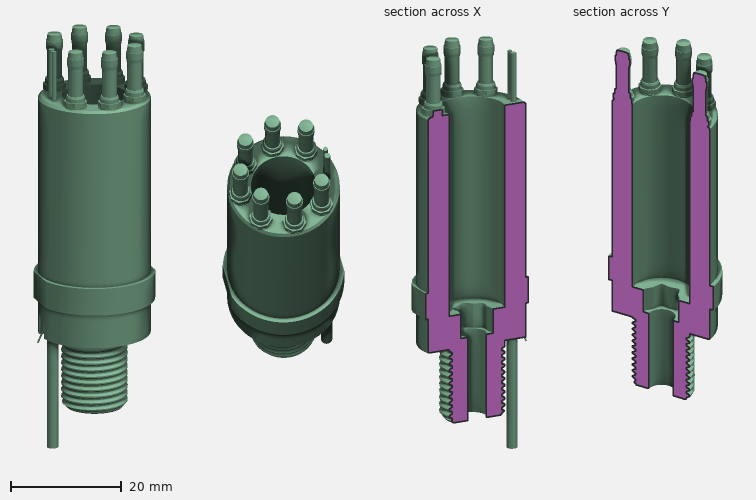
import cadquery as cq
import math

TOTAL_HEIGHT = 76.5
BODY_TOP = 65.95
BODY_BOTTOM = 21.1
STUD_BOTTOM = 7.0

BODY_DIAMETER = 20.35
BODY_CHAMFER = 0.45
FLANGE_DIAMETER = 21.95
FLANGE_FLAT_WIDTH = 20.95
FLANGE_BOTTOM = 27.55
FLANGE_HEIGHT = 5.05
BORE_DIAMETER = 11.8
BORE_FLOOR = FLANGE_BOTTOM
THROUGH_DIAMETER = 5.05

LOBE_COUNT = 6
LOBE_CORNER_RADIUS = 3.9
LOBE_VALLEY_RADIUS = 3.0
LOBE_ROUNDING = 0.7
SOCKET_DEPTH = 4.6

STUD_DIAMETER = 12.0
STUD_CHAMFER = 0.9
THREAD_LENGTH = 15.0
THREAD_TURNS = 12
THREAD_PITCH = THREAD_LENGTH / THREAD_TURNS
THREAD_DEPTH = 0.65
THREAD_ROOT_WIDTH = 0.27
THREAD_FLANK_ANGLE = 30.0
THREAD_END_HEIGHT = 20.6
THREAD_END_ANGLE = 190.0
CUTTER_OVERRUN = 0.1

PIN_STATIONS = 8
FREE_STATION = 6
PIN_CIRCLE_DIAMETER = 16.0
PIN_DIAMETER = 2.7
PIN_TIP_DIAMETER = 2.5
PIN_TIP_BASE_DIAMETER = 2.8
PIN_TIP_LENGTH = 1.3
PIN_DOME_HEIGHT = 0.115
BARB_DIAMETER = 3.05
BARB_LENGTH = 1.2
BARB_HEEL_LENGTH = 0.6
BARB_HEEL_DIAMETER = 2.9
COLLAR_DIAMETER = 3.45
COLLAR_BEVEL_DIAMETER = 3.1
COLLAR_HEIGHT = 1.1
COLLAR_BEVEL = 0.4
NUT_SIDES = 8
NUT_CORNER_DIAMETER = 4.2
NUT_HEIGHT = 1.15
FOOT_DIAMETER = 4.05
FOOT_HEIGHT = 0.2

CABLE_Y = -8.0
CABLE_DIAMETER = 2.1
SLOT_WIDTH = 2.8
SLOT_CENTRE_X = -0.115
SLOT_TOP = 25.0
SLOT_BACK_Y = -6.9
WIRE_TOP = TOTAL_HEIGHT - PIN_TIP_LENGTH
THICK_WIRE_X = -0.5
THICK_WIRE_DIAMETER = 1.1
THIN_WIRE_X = 0.85
THIN_WIRE_DIAMETER = 0.85
STRAND_DIAMETER = 0.3
STRAND_START = (0.3, -9.65, SLOT_TOP)
STRAND_BEND = (0.3, -9.9, 22.5)
STRAND_TIP = (-0.45, -10.7, 19.9)


def upright_cylinder(diameter, bottom, top, x=0.0, y=0.0):
    return cq.Workplane("XY", origin=(x, y, bottom)).circle(diameter / 2).extrude(top - bottom)


def make_body():
    body = upright_cylinder(BODY_DIAMETER, BODY_BOTTOM, BODY_TOP).faces(">Z").chamfer(BODY_CHAMFER)
    flange = upright_cylinder(FLANGE_DIAMETER, FLANGE_BOTTOM, FLANGE_BOTTOM + FLANGE_HEIGHT)
    flats = cq.Workplane("XY").box(FLANGE_DIAMETER, FLANGE_FLAT_WIDTH, 2 * TOTAL_HEIGHT)
    return body.union(flange.intersect(flats))


def make_thread_groove():
    """Helical groove that runs out below the stud and stops just under the body."""
    root_radius = STUD_DIAMETER / 2 - THREAD_DEPTH
    outer_radius = STUD_DIAMETER / 2 + CUTTER_OVERRUN
    root_half = THREAD_ROOT_WIDTH / 2
    flank_rise = (outer_radius - root_radius) * math.tan(math.radians(THREAD_FLANK_ANGLE))
    outer_half = root_half + flank_rise
    helix = cq.Wire.makeHelix(THREAD_PITCH, THREAD_LENGTH, root_radius)
    groove = (
        cq.Workplane("XZ")
        .polyline(
            [
                (root_radius, -root_half),
                (outer_radius, -outer_half),
                (outer_radius, outer_half),
                (root_radius, root_half),
            ]
        )
        .close()
        .sweep(cq.Workplane(helix), isFrenet=True)
    )
    groove = groove.rotate((0, 0, 0), (0, 0, 1), THREAD_END_ANGLE)
    return groove.translate((0, 0, THREAD_END_HEIGHT - THREAD_LENGTH))


def make_stud():
    blank = upright_cylinder(STUD_DIAMETER, STUD_BOTTOM, FLANGE_BOTTOM)
    chamfered_blank = blank.faces("<Z").chamfer(STUD_CHAMFER)
    return blank.cut(make_thread_groove()).intersect(chamfered_blank)


def make_socket():
    """Six-pointed star with rounded corners, one point facing +X."""
    corners = []
    for index in range(2 * LOBE_COUNT):
        radius = LOBE_VALLEY_RADIUS if index % 2 else LOBE_CORNER_RADIUS
        angle = math.pi * index / LOBE_COUNT
        corners.append((radius * math.cos(angle), radius * math.sin(angle)))
    star = cq.Workplane("XY", origin=(0, 0, BORE_FLOOR - SOCKET_DEPTH)).polyline(corners).close()
    return star.extrude(SOCKET_DEPTH).edges("|Z").fillet(LOBE_ROUNDING)


def make_pin():
    """Barbed pin on a nut, standing on the body top at the origin."""
    nut_top = BODY_TOP + NUT_HEIGHT
    collar_top = nut_top + COLLAR_HEIGHT
    barb_top = TOTAL_HEIGHT - PIN_TIP_LENGTH
    heel_top = barb_top - BARB_LENGTH
    heel_bottom = heel_top - BARB_HEEL_LENGTH
    tip_rim = TOTAL_HEIGHT - PIN_DOME_HEIGHT
    tip_radius = PIN_TIP_DIAMETER / 2
    dome_radius = (tip_radius**2 + PIN_DOME_HEIGHT**2) / (2 * PIN_DOME_HEIGHT)
    turned = (
        cq.Workplane("XZ")
        .moveTo(0, BODY_TOP)
        .lineTo(FOOT_DIAMETER / 2, BODY_TOP)
        .lineTo(FOOT_DIAMETER / 2, BODY_TOP + FOOT_HEIGHT)
        .lineTo(COLLAR_DIAMETER / 2, BODY_TOP + FOOT_HEIGHT)
        .lineTo(COLLAR_DIAMETER / 2, collar_top - COLLAR_BEVEL)
        .lineTo(COLLAR_BEVEL_DIAMETER / 2, collar_top)
        .lineTo(PIN_DIAMETER / 2, collar_top)
        .lineTo(PIN_DIAMETER / 2, heel_bottom)
        .lineTo(BARB_HEEL_DIAMETER / 2, heel_bottom)
        .lineTo(BARB_DIAMETER / 2, heel_top)
        .lineTo(BARB_DIAMETER / 2, barb_top)
        .lineTo(PIN_TIP_BASE_DIAMETER / 2, barb_top)
        .lineTo(tip_radius, tip_rim)
        .radiusArc((0, TOTAL_HEIGHT), -dome_radius)
        .close()
        .revolve(360, (0, 0, 0), (0, 1, 0))
    )
    nut = (
        cq.Workplane("XY", origin=(0, 0, BODY_TOP + FOOT_HEIGHT))
        .polygon(NUT_SIDES, NUT_CORNER_DIAMETER)
        .extrude(NUT_HEIGHT - FOOT_HEIGHT)
        .rotate((0, 0, 0), (0, 0, 1), 180 / NUT_SIDES)
    )
    return turned.union(nut)


def make_slot():
    depth = FLANGE_DIAMETER / 2 + SLOT_BACK_Y
    return (
        cq.Workplane("XY", origin=(SLOT_CENTRE_X, SLOT_BACK_Y - depth / 2, BODY_BOTTOM))
        .rect(SLOT_WIDTH, depth)
        .extrude(SLOT_TOP - BODY_BOTTOM)
    )


def rod_between(start, end, radius):
    axis = cq.Vector(*end) - cq.Vector(*start)
    return cq.Workplane(cq.Solid.makeCylinder(radius, axis.Length, cq.Vector(*start), axis))


def make_strand():
    """Thin strand hanging from the slot ceiling and bent outwards past the body."""
    bend = cq.Workplane("XY", origin=STRAND_BEND).sphere(STRAND_DIAMETER / 2)
    upper = rod_between(STRAND_BEND, STRAND_START, STRAND_DIAMETER / 2)
    lower = rod_between(STRAND_BEND, STRAND_TIP, STRAND_DIAMETER / 2)
    return upper.union(bend).union(lower)


result = make_body().union(make_stud())
result = result.cut(upright_cylinder(BORE_DIAMETER, BORE_FLOOR, BODY_TOP))
result = result.cut(make_socket())
result = result.cut(upright_cylinder(THROUGH_DIAMETER, STUD_BOTTOM, BORE_FLOOR))
result = result.cut(make_slot())

pin_at_first_station = make_pin().translate((PIN_CIRCLE_DIAMETER / 2, 0, 0))
for station in range(PIN_STATIONS):
    if station != FREE_STATION:
        angle = station * 360 / PIN_STATIONS
        result = result.union(pin_at_first_station.rotate((0, 0, 0), (0, 0, 1), angle))

result = result.union(upright_cylinder(CABLE_DIAMETER, 0, SLOT_TOP, y=CABLE_Y))
for wire_x, wire_diameter in ((THICK_WIRE_X, THICK_WIRE_DIAMETER), (THIN_WIRE_X, THIN_WIRE_DIAMETER)):
    result = result.union(upright_cylinder(wire_diameter, BODY_TOP, WIRE_TOP, wire_x, CABLE_Y))
result = result.union(make_strand())